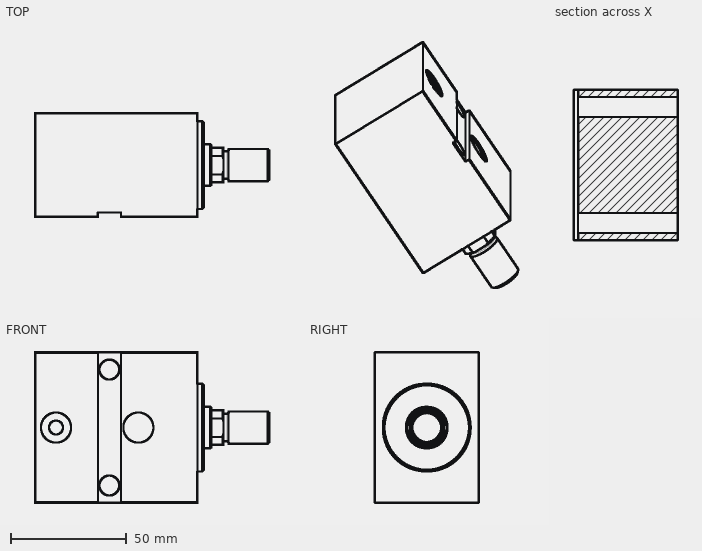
import cadquery as cq


housing_length = 70.0
housing_depth = 45.0
housing_height = 65.0
long_edge_chamfer = 0.3
front_y = -housing_depth / 2

keyway_center_x = 32.0
keyway_width = 10.0
keyway_depth = 2.0
mounting_hole_diameter = 8.5
mounting_hole_spacing = 50.0

rear_port_x = 9.0
front_port_x = 44.5
port_diameter = 13.0
port_depth = 1.0
plug_diameter = 6.0

gland_diameter = 38.0
gland_thickness = 2.75
gland_chamfer = 0.8

rod_diameter = 18.0
wrench_diameter = 17.0
wrench_flat_width = 15.0
neck_diameter = 12.0
thread_diameter = 14.0
shoulder_end_x = 76.0
wrench_end_x = 81.2
thread_start_x = 83.45
rod_end_x = 101.0
shoulder_chamfer = (rod_diameter - wrench_diameter) / 2
wrench_chamfer = 0.5
neck_fillet = 0.8
thread_end_chamfer = 0.8


def front_cylinder(x, z, diameter, depth):
    """Cylinder that starts on the front face and runs the given depth toward +Y."""
    start = cq.Vector(x, front_y, z)
    return cq.Workplane(obj=cq.Solid.makeCylinder(diameter / 2, depth, start, cq.Vector(0, 1, 0)))


def make_housing():
    block = cq.Workplane("XY").box(
        housing_length, housing_depth, housing_height, centered=(False, True, True)
    )
    block = block.edges("|X").chamfer(long_edge_chamfer)

    keyway = cq.Workplane("XY").box(keyway_width, 2 * keyway_depth, housing_height)
    block = block.cut(keyway.translate((keyway_center_x, front_y, 0)))

    for side in (-1, 1):
        hole_z = side * mounting_hole_spacing / 2
        block = block.cut(front_cylinder(keyway_center_x, hole_z, mounting_hole_diameter, housing_depth))

    for port_x in (rear_port_x, front_port_x):
        block = block.cut(front_cylinder(port_x, 0, port_diameter, port_depth))
    return block


def make_plug():
    """Round plug on the floor of the rear recess, flush with the front face."""
    return front_cylinder(rear_port_x, 0, plug_diameter, port_depth)


def make_gland():
    ring = cq.Workplane("YZ", origin=(housing_length, 0, 0)).circle(gland_diameter / 2)
    ring = ring.extrude(gland_thickness)
    ring = ring.faces(">X").edges().chamfer(gland_chamfer)
    return ring.faces(">X").workplane().circle(rod_diameter / 2).cutThruAll()


def make_rod():
    """Turned rod with a shoulder, a wrench section, an undercut neck and a threaded end."""
    rod_radius = rod_diameter / 2
    wrench_radius = wrench_diameter / 2
    neck_radius = neck_diameter / 2
    thread_radius = thread_diameter / 2
    profile = (
        cq.Workplane("XY")
        .moveTo(housing_length, 0)
        .lineTo(housing_length, rod_radius)
        .lineTo(shoulder_end_x - shoulder_chamfer, rod_radius)
        .lineTo(shoulder_end_x, wrench_radius)
        .lineTo(wrench_end_x - wrench_chamfer, wrench_radius)
        .lineTo(wrench_end_x, wrench_radius - wrench_chamfer)
        .lineTo(wrench_end_x, neck_radius)
        .lineTo(thread_start_x - neck_fillet, neck_radius)
        .tangentArcPoint((thread_start_x, neck_radius + neck_fillet), relative=False)
        .lineTo(thread_start_x, thread_radius)
        .lineTo(rod_end_x - thread_end_chamfer, thread_radius)
        .lineTo(rod_end_x, thread_radius - thread_end_chamfer)
        .lineTo(rod_end_x, 0)
        .close()
    )
    rod = profile.revolve(360, (0, 0, 0), (1, 0, 0))

    wrench_length = wrench_end_x - shoulder_end_x
    wrench_center_x = (shoulder_end_x + wrench_end_x) / 2
    stock = cq.Workplane("XY").box(wrench_length, rod_diameter, rod_diameter)
    square = cq.Workplane("XY").box(wrench_length, wrench_flat_width, wrench_flat_width)
    return rod.cut(stock.cut(square).translate((wrench_center_x, 0, 0)))


housing = make_housing()
plug = make_plug()
gland = make_gland()
rod = make_rod()

result = cq.Compound.makeCompound([housing.val(), plug.val(), gland.val(), rod.val()])